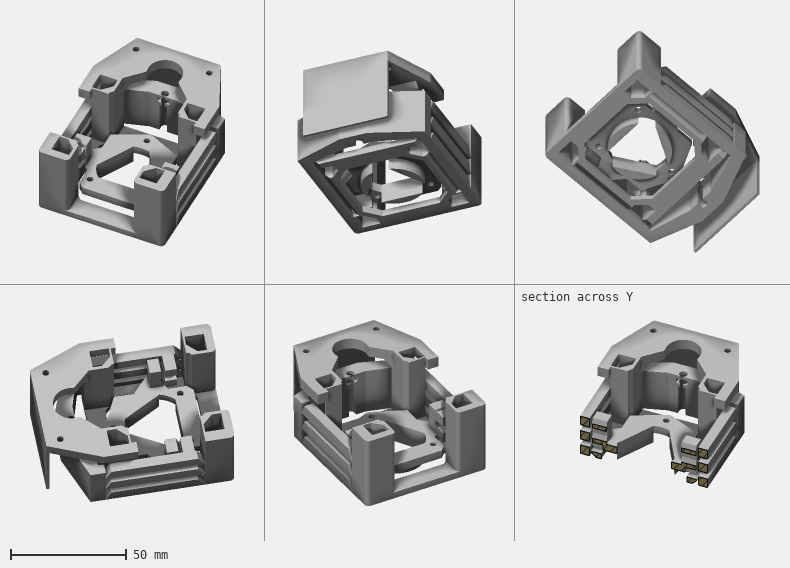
import cadquery as cq
import math

WIDTH = 60.0
LENGTH = 81.2
HEIGHT = 33.8
HALF_WIDTH = WIDTH / 2

FRAME_DEPTH = 57.7
CENTRE_Y = FRAME_DEPTH / 2
FLOOR_THICKNESS = 3.1
FLOOR_HALF_WIDTH = 24.8
FLOOR_EDGE_BEVEL = 2.3
OPENING_HALF_WIDTH = 20.05
OPENING_HALF_DEPTH = 20.2
OPENING_CHAMFER = 6.65
POST_DEPTH = 13.0
POST_WIDTH = 14.7
POST_INNER_X = HALF_WIDTH - POST_WIDTH
POST_CHAMFER_X = 1.4
POST_CHAMFER_Y = 1.5
POST_LIP = 1.0
POST_LIP_X = POST_INNER_X + POST_CHAMFER_X
POST_FILLET = 2.0
SOCKET_OUTER_X = 25.1
SOCKET_INNER_X = 16.7
SOCKET_DEPTH = 8.5
SOCKET_MARGIN = 3.65
SOCKET_CHAMFER = 4.3

COVER_THICKNESS = 5.0
COVER_BOTTOM = HEIGHT - COVER_THICKNESS
COVER_REAR_HALF_WIDTH = 20.0
COVER_ARM_FRONT = 42.45
COVER_HOLE_X = 17.45
COVER_HOLE_Y = 74.6
SCREW_DIAMETER = 2.9
CLEARANCE_RADIUS = 7.9
THROAT_HALF_WIDTH = 7.7
THROAT_FRONT = 63.9
THROAT_TAPER_END = 56.1
SKIRT_THICKNESS = 1.3
GUSSET_SIZE = 3.7
GUSSET_FOOT_X = 15.0
GUSSET_TOP_X = 12.25

RAIL_COUNT = 3
RAIL_PITCH = 8.0
RAIL_HEIGHT = 4.95
RAIL_END_HEIGHT = 0.25
RAIL_INNER_X = 25.5
RAIL_FRONT_SLOPE = 3.2
RAIL_REAR_SLOPE = 2.4
WALL_FRONT = 56.8
WALL_HEIGHT = (RAIL_COUNT - 1) * RAIL_PITCH + RAIL_HEIGHT
WALL_OUTER_Y = 63.55
WALL_REAR = 72.3
WALL_FLAT_HALF_WIDTH = 6.5
WALL_INNER_FLAT_Y = 64.85
WALL_INNER_END_Y = 59.4

PIN_Y = 66.6
PIN_DIAMETER = 3.65
PIN_SLOT_TOP = 15.2
NECK_WIDTH = 1.4
NUT_WIDTH = 5.35
NUT_BOTTOM = 16.9
NUT_HEIGHT = 2.5

CARRIER_BOTTOM = 5.3
CARRIER_THICKNESS = 3.9
CARRIER_TOP = CARRIER_BOTTOM + CARRIER_THICKNESS
CARRIER_HALF_WIDTH = 15.9
CARRIER_FRONT = 10.2
CARRIER_CORNER = 2.6
CARRIER_SIDE_FRONT = 21.1
CARRIER_WING_FRONT_X = 20.8
CARRIER_WAIST_Y = 36.1
CARRIER_SHOULDER_Y = 44.9
CARRIER_NOSE_Y = 51.9
CARRIER_NOSE_HALF_WIDTH = 0.8
RING_RADIUS = 14.0
WINDOW_CIRCUMRADIUS = 20.0
CARRIER_HOLES = [(0, 48.0), (-12.5, 16.3), (12.5, 16.3)]

LATCH_INNER_X = 17.5
TAB_OUTER_X = 24.4
TAB_FRONT = 23.9
TAB_REAR = 28.8
TOOTH_REACH = 1.6
HOOK_FRONT = 16.9
HOOK_REAR = 22.0
BRIDGE_WIDTH = 3.25
BRIDGE_HEIGHT = 1.0


def box(x0, x1, y0, y1, z0, z1):
    return cq.Workplane("XY").box(x1 - x0, y1 - y0, z1 - z0, centered=False).translate((x0, y0, z0))


def prism(points, z0, z1):
    """Plan outline extruded from z0 to z1."""
    return cq.Workplane("XY").workplane(offset=z0).polyline(points).close().extrude(z1 - z0)


def side_prism(points, x0, x1):
    """Outline of (y, z) points extruded from x0 to x1."""
    return cq.Workplane("YZ").workplane(offset=x0).polyline(points).close().extrude(x1 - x0)


def cylinder(x, y, radius, z0, z1):
    return cq.Workplane("XY").workplane(offset=z0).center(x, y).circle(radius).extrude(z1 - z0)


def mirrored(right_half):
    """Points of the +X side followed by their mirror images, as one symmetric outline."""
    return right_half + [(-x, y) for x, y in reversed(right_half)]


def both_sides(body):
    return body.union(body.mirror("YZ"))


def flipped_in_depth(points):
    """Front post outline turned into the rear post outline."""
    return [(x, FRAME_DEPTH - y) for x, y in points]


def make_floor():
    front = box(-HALF_WIDTH, HALF_WIDTH, 0, POST_DEPTH, 0, FLOOR_THICKNESS)
    front = front.edges("|Z and <Y").fillet(POST_FILLET)
    main = box(-FLOOR_HALF_WIDTH, FLOOR_HALF_WIDTH, POST_DEPTH, FRAME_DEPTH, 0, FLOOR_THICKNESS)
    main = main.faces("<Z").edges("|Y").chamfer(FLOOR_EDGE_BEVEL)
    opening = (
        cq.Workplane("XY")
        .center(0, CENTRE_Y)
        .rect(2 * OPENING_HALF_WIDTH, 2 * OPENING_HALF_DEPTH)
        .extrude(FLOOR_THICKNESS)
        .edges("|Z")
        .chamfer(OPENING_CHAMFER)
    )
    return front.union(main).cut(opening)


def post_outline(outer_x):
    return [
        (outer_x, 0),
        (POST_INNER_X, 0),
        (POST_INNER_X, POST_DEPTH - POST_LIP - POST_CHAMFER_Y),
        (POST_LIP_X, POST_DEPTH - POST_LIP),
        (POST_LIP_X, POST_DEPTH),
        (outer_x, POST_DEPTH),
    ]


def socket_outline():
    rear = SOCKET_MARGIN + SOCKET_DEPTH
    return [
        (SOCKET_OUTER_X, SOCKET_MARGIN),
        (SOCKET_INNER_X, SOCKET_MARGIN),
        (SOCKET_INNER_X, rear - SOCKET_CHAMFER),
        (SOCKET_INNER_X + SOCKET_CHAMFER, rear),
        (SOCKET_OUTER_X, rear),
    ]


def make_posts():
    front = prism(post_outline(HALF_WIDTH), FLOOR_THICKNESS, HEIGHT)
    front = front.edges("|Z and <Y").fillet(POST_FILLET)
    rear = prism(flipped_in_depth(post_outline(FLOOR_HALF_WIDTH)), FLOOR_THICKNESS, HEIGHT)
    return both_sides(front.union(rear))


def make_sockets():
    """Square holes with one bevelled corner, running through all four posts."""
    front = prism(socket_outline(), 0, HEIGHT)
    rear = prism(flipped_in_depth(socket_outline()), 0, HEIGHT)
    return both_sides(front.union(rear))


def throat_outline():
    """Opening in the cover between the rear posts, tapering towards the pin."""
    return mirrored(
        [
            (POST_LIP_X, 0),
            (POST_LIP_X, FRAME_DEPTH - POST_DEPTH + POST_LIP),
            (POST_INNER_X, FRAME_DEPTH - POST_DEPTH + POST_LIP + POST_CHAMFER_Y),
            (POST_INNER_X, THROAT_TAPER_END),
            (THROAT_HALF_WIDTH, THROAT_FRONT),
            (THROAT_HALF_WIDTH, PIN_Y),
        ]
    )


def make_gussets():
    """45 degree supports under the cover, on the rear faces of the rear posts."""
    foot = COVER_BOTTOM - GUSSET_SIZE
    socket_rear = FRAME_DEPTH - SOCKET_MARGIN
    wedge = side_prism(
        [
            (socket_rear, foot),
            (FRAME_DEPTH, foot),
            (FRAME_DEPTH + GUSSET_SIZE, COVER_BOTTOM),
            (socket_rear, COVER_BOTTOM),
        ],
        GUSSET_TOP_X,
        FLOOR_HALF_WIDTH,
    )
    face = [
        (GUSSET_FOOT_X, foot),
        (GUSSET_TOP_X, COVER_BOTTOM),
        (FLOOR_HALF_WIDTH, COVER_BOTTOM),
        (FLOOR_HALF_WIDTH, foot),
    ]
    inner_slope = cq.Workplane("XZ").polyline(face).close().extrude(-LENGTH)
    gussets = both_sides(wedge.intersect(inner_slope))
    return gussets.cut(prism(throat_outline(), foot, COVER_BOTTOM))


def make_cover():
    outline = mirrored(
        [
            (POST_INNER_X, FRAME_DEPTH - POST_DEPTH),
            (FLOOR_HALF_WIDTH, FRAME_DEPTH - POST_DEPTH),
            (FLOOR_HALF_WIDTH, COVER_ARM_FRONT),
            (HALF_WIDTH, COVER_ARM_FRONT),
            (HALF_WIDTH, FRAME_DEPTH),
            (COVER_REAR_HALF_WIDTH, LENGTH),
        ]
    )
    cover = prism(outline, COVER_BOTTOM, HEIGHT)
    cover = cover.cut(prism(throat_outline(), COVER_BOTTOM, HEIGHT))
    cover = cover.cut(cylinder(0, PIN_Y, CLEARANCE_RADIUS, COVER_BOTTOM, HEIGHT))
    for x in (-COVER_HOLE_X, COVER_HOLE_X):
        cover = cover.cut(cylinder(x, COVER_HOLE_Y, SCREW_DIAMETER / 2, COVER_BOTTOM, HEIGHT))
    skirt = box(
        -COVER_REAR_HALF_WIDTH, COVER_REAR_HALF_WIDTH, LENGTH - SKIRT_THICKNESS, LENGTH, 0, COVER_BOTTOM
    )
    return cover.union(skirt)


def make_rails():
    """Side rails with sloping ends that join the frame at their feet; the upper ones carry hooks."""
    rails = cq.Workplane("XY")
    for level in range(RAIL_COUNT):
        foot = level * RAIL_PITCH
        top = foot + RAIL_HEIGHT
        section = [
            (POST_DEPTH, foot),
            (WALL_FRONT, foot),
            (WALL_FRONT, foot + RAIL_END_HEIGHT),
            (WALL_FRONT - RAIL_REAR_SLOPE, top),
            (POST_DEPTH + RAIL_FRONT_SLOPE, top),
            (POST_DEPTH, foot + RAIL_END_HEIGHT),
        ]
        rails = rails.union(side_prism(section, RAIL_INNER_X, HALF_WIDTH))
        if level > 0:
            rails = rails.union(box(LATCH_INNER_X, HALF_WIDTH, HOOK_FRONT, HOOK_REAR, foot, top))
    return both_sides(rails)


def make_rear_wall():
    outline = mirrored(
        [
            (WALL_FLAT_HALF_WIDTH, WALL_INNER_FLAT_Y),
            (RAIL_INNER_X, WALL_INNER_END_Y),
            (RAIL_INNER_X, WALL_FRONT),
            (HALF_WIDTH, WALL_FRONT),
            (HALF_WIDTH, WALL_OUTER_Y),
            (WALL_FLAT_HALF_WIDTH, WALL_REAR),
        ]
    )
    wall = prism(outline, 0, WALL_HEIGHT)
    wall = wall.cut(cylinder(0, PIN_Y, PIN_DIAMETER / 2, 0, WALL_HEIGHT))
    slot_half = PIN_DIAMETER / 2
    wall = wall.cut(box(-slot_half, slot_half, WALL_INNER_FLAT_Y, PIN_Y, 0, PIN_SLOT_TOP))
    wall = wall.cut(box(-NECK_WIDTH / 2, NECK_WIDTH / 2, WALL_INNER_FLAT_Y, PIN_Y, 0, WALL_HEIGHT))
    nut_half = NUT_WIDTH / 2
    nut_top = NUT_BOTTOM + NUT_HEIGHT
    return wall.cut(box(-nut_half, nut_half, WALL_INNER_FLAT_Y, PIN_Y + nut_half, NUT_BOTTOM, nut_top))


def make_carrier():
    outline = mirrored(
        [
            (CARRIER_HALF_WIDTH - CARRIER_CORNER, CARRIER_FRONT),
            (CARRIER_HALF_WIDTH, CARRIER_FRONT + CARRIER_CORNER),
            (CARRIER_HALF_WIDTH, CARRIER_SIDE_FRONT),
            (CARRIER_WING_FRONT_X, TAB_FRONT),
            (TAB_OUTER_X, TAB_FRONT),
            (TAB_OUTER_X, TAB_REAR),
            (CARRIER_HALF_WIDTH, CARRIER_WAIST_Y),
            (CARRIER_HALF_WIDTH, CARRIER_SHOULDER_Y),
            (CARRIER_NOSE_HALF_WIDTH, CARRIER_NOSE_Y),
        ]
    )
    plate = prism(outline, CARRIER_BOTTOM, CARRIER_TOP)
    plate = plate.union(cylinder(0, CENTRE_Y, RING_RADIUS, 0, CARRIER_BOTTOM))

    base_x = WINDOW_CIRCUMRADIUS * math.cos(math.radians(30))
    base_y = CENTRE_Y - WINDOW_CIRCUMRADIUS / 2
    triangle = [(-base_x, base_y), (base_x, base_y), (0, CENTRE_Y + WINDOW_CIRCUMRADIUS)]
    window = prism(triangle, 0, CARRIER_TOP).intersect(cylinder(0, CENTRE_Y, RING_RADIUS, 0, CARRIER_TOP))
    plate = plate.cut(window)
    for x, y in CARRIER_HOLES:
        plate = plate.cut(cylinder(x, y, SCREW_DIAMETER / 2, CARRIER_BOTTOM, CARRIER_TOP))
    return plate


def make_tabs():
    """Latch tabs with one ratchet tooth facing each hook block."""
    tab = box(LATCH_INNER_X, TAB_OUTER_X, TAB_FRONT, TAB_REAR, CARRIER_BOTTOM, WALL_HEIGHT)
    for level in range(1, RAIL_COUNT):
        foot = level * RAIL_PITCH
        tooth = [(TAB_FRONT, foot), (TAB_FRONT - TOOTH_REACH, foot), (TAB_FRONT, foot + RAIL_HEIGHT)]
        tab = tab.union(side_prism(tooth, LATCH_INNER_X, TAB_OUTER_X))
    bridge_inner_x = TAB_OUTER_X - BRIDGE_WIDTH
    bridge_top = RAIL_PITCH + BRIDGE_HEIGHT
    bridge = box(bridge_inner_x, TAB_OUTER_X, HOOK_REAR, TAB_FRONT, RAIL_PITCH, bridge_top)
    return both_sides(tab.union(bridge))


frame = make_floor().union(make_posts()).union(make_gussets()).union(make_cover())
frame = frame.cut(make_sockets())
frame = frame.union(make_rails()).union(make_rear_wall())
result = frame.union(make_carrier()).union(make_tabs())